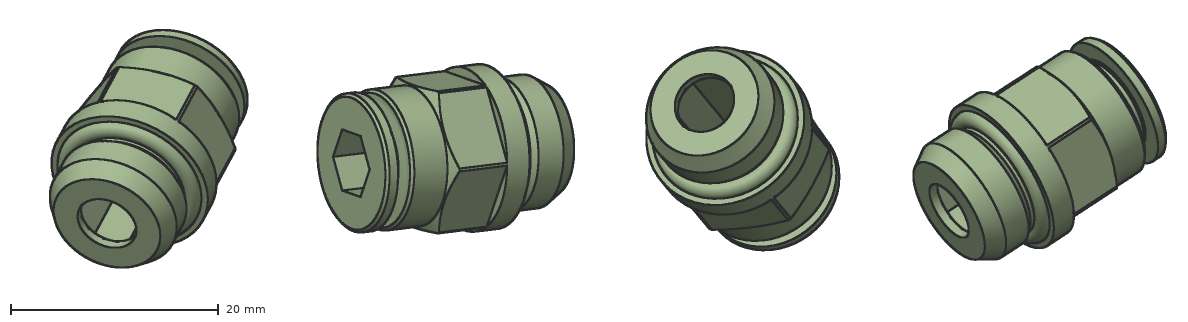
import cadquery as cq
import math


tip_end = 1.8
thread_end = 4.6
relief_start = 5.3
flange_front = 6.5
hex_start = 9.0
body_start = 15.0
body_end = 19.0
shoulder_end = 19.2
collar_start = 20.45
total_length = 21.7

thread_radius = 6.5
tip_taper_angle = 30.0
tip_radius = thread_radius - tip_end * math.tan(math.radians(tip_taper_angle))
relief_radius = 5.9
flange_radius = 8.0
body_radius = 6.85
shoulder_radius = 6.0
sleeve_radius = 4.72
collar_radius = 6.75

edge_chamfer = 0.3
collar_root_chamfer = 0.15

ring_section_radius = 0.9
ring_outer_radius = 7.35
ring_center_radius = ring_outer_radius - ring_section_radius

hex_half_sector = 30.0
wrench_width = 14.0
hex_chamfer_angle = 30.0
key_width = 6.0
mouth_depth = 1.0


def revolve_about_axis(profile):
    """Turn a closed (radius, Y) profile about the Y axis."""
    return profile.revolve(360, (0, 0, 0), (0, 1, 0))


def hex_prism(width_across_flats, y_start, y_end):
    """Hexagonal prism along Y with flats facing +Z and -Z."""
    width_across_corners = width_across_flats / math.cos(math.radians(hex_half_sector))
    return (
        cq.Workplane("XZ", origin=(0, y_start, 0))
        .polygon(6, width_across_corners)
        .extrude(y_start - y_end)
    )


def turned_body():
    """Thread, relief, flange, body, sleeve and release collar as one turning."""
    outline = [
        (0, 0),
        (tip_radius, 0),
        (thread_radius, tip_end),
        (thread_radius, thread_end),
        (relief_radius, relief_start),
        (relief_radius, flange_front),
        (flange_radius, flange_front),
        (flange_radius, hex_start),
        (body_radius, hex_start),
        (body_radius, body_end - edge_chamfer),
        (body_radius - edge_chamfer, body_end),
        (shoulder_radius, body_end),
        (sleeve_radius, shoulder_end),
        (sleeve_radius, collar_start - collar_root_chamfer),
        (sleeve_radius + collar_root_chamfer, collar_start),
        (collar_radius, collar_start),
        (collar_radius, total_length - edge_chamfer),
        (collar_radius - edge_chamfer, total_length),
        (0, total_length),
    ]
    return revolve_about_axis(cq.Workplane("XY").polyline(outline).close())


def wrench_hex():
    """Hexagon with corners trimmed to the flange and a conical rear chamfer."""
    chamfer_length = (flange_radius - body_radius) * math.tan(math.radians(hex_chamfer_angle))
    envelope_outline = [
        (0, hex_start),
        (flange_radius, hex_start),
        (flange_radius, body_start - chamfer_length),
        (body_radius, body_start),
        (0, body_start),
    ]
    envelope = revolve_about_axis(cq.Workplane("XY").polyline(envelope_outline).close())
    return hex_prism(wrench_width, hex_start, body_start).intersect(envelope)


def sealing_ring():
    """Round-section ring, half of it proud of the flange face."""
    section = (
        cq.Workplane("XY")
        .center(ring_center_radius, flange_front)
        .circle(ring_section_radius)
    )
    return section.revolve(360, (-ring_center_radius, 0, 0), (-ring_center_radius, 1, 0))


def passage():
    """Round mouth at the threaded end, followed by the hexagonal key socket."""
    mouth = cq.Workplane("XZ").circle(key_width / 2).extrude(-mouth_depth)
    return mouth.union(hex_prism(key_width, mouth_depth, total_length))


result = turned_body().union(wrench_hex()).union(sealing_ring()).cut(passage())